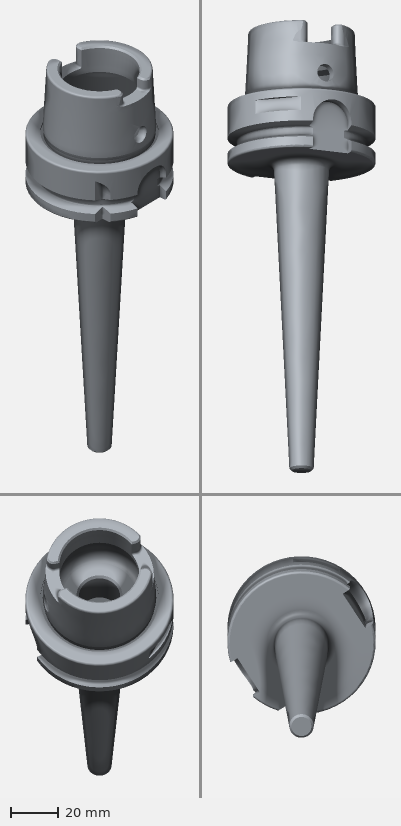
import cadquery as cq
import math


total_height = 192.0
shank_length = 32.0
flange_length = 26.0
flange_top = total_height - shank_length
flange_bottom = flange_top - flange_length

shank_tip_radius = 22.7
taper_slope = 0.05
shank_rounding = 1.0
edge_chamfer = 0.8

taper_foot_height = 2.3
relief_neck_height = 0.8
relief_neck_radius = 23.8
relief_outer_radius = 25.2
relief_depth = 1.0

flange_radius = 31.5
flange_rounding = 1.0
groove_floor_radius = 27.5
groove_middle = 8.0
groove_floor_width = 3.5
groove_mouth_width = 7.0
groove_floor_fillet = 0.5

stem_top_radius = 11.7
stem_tip_radius = 5.2
stem_fillet = 2.9
stem_tip_chamfer = 1.0

mouth_radius = 17.0
lip_depth = 12.9
recess_radius = 20.0
recess_angle = 60.0
recess_fillet = 4.2
bore_depth = 29.4
socket_mouth_radius = 9.8
socket_radius = 8.8
socket_depth = 19.2

cross_hole_radius = 3.8
cross_hole_depth = 23.0

slot_half_width = 6.1
slot_corner_radius = 2.9
slot_blend_inset = 0.2
slot_blend_radius = shank_tip_radius + slot_blend_inset
slot_flare_length = 7.7
slot_floor_fillet = 1.0
deep_slot_depth = 10.0
shallow_slot_depth = 6.0

keyway_half_width = 9.0
keyway_floor = 26.5
keyway_top = total_height - 36.5

notch_floor_x = 19.8
notch_wall_y = -notch_floor_x
notch_end_radius = 8.0
notch_round_start = 147.8
flat_distance = 29.5
flat_width = 20.5
flat_angle = 135.0
flat_top = total_height - 36.0
flat_height = 6.0

clear = 38.4


def revolve_profile(profile):
    """Turn a (radius, height) outline on the XZ plane about the Z axis."""
    return profile.close().revolve(360, (0, 0, 0), (0, 1, 0))


def make_turned_body():
    taper_foot = flange_top + taper_foot_height
    taper_foot_radius = shank_tip_radius + taper_slope * (shank_length - taper_foot_height)
    groove_center = flange_bottom + groove_middle
    profile = (
        cq.Workplane("XZ")
        .moveTo(0, 0)
        .lineTo(stem_tip_radius - stem_tip_chamfer, 0)
        .lineTo(stem_tip_radius, stem_tip_chamfer)
        .lineTo(stem_top_radius, flange_bottom - stem_fillet)
        .radiusArc((stem_top_radius + stem_fillet, flange_bottom), stem_fillet)
        .lineTo(flange_radius - flange_rounding, flange_bottom)
        .radiusArc((flange_radius, flange_bottom + flange_rounding), -flange_rounding)
        .lineTo(flange_radius, groove_center - groove_mouth_width / 2)
        .lineTo(groove_floor_radius, groove_center - groove_floor_width / 2)
        .lineTo(groove_floor_radius, groove_center + groove_floor_width / 2)
        .lineTo(flange_radius, groove_center + groove_mouth_width / 2)
        .lineTo(flange_radius, flange_top - flange_rounding)
        .radiusArc((flange_radius - flange_rounding, flange_top), -flange_rounding)
        .lineTo(relief_outer_radius, flange_top)
        .lineTo(relief_outer_radius, flange_top - relief_depth)
        .lineTo(relief_neck_radius, flange_top - relief_depth)
        .lineTo(relief_neck_radius, flange_top + relief_neck_height)
        .lineTo(taper_foot_radius, taper_foot)
        .lineTo(shank_tip_radius, total_height - shank_rounding)
        .radiusArc((shank_tip_radius - shank_rounding, total_height), -shank_rounding)
        .lineTo(0, total_height)
    )
    body = revolve_profile(profile)
    near_floor = 0.6 * groove_floor_width
    floor_circles = cq.selectors.BoxSelector(
        (-2, -2, groove_center - near_floor),
        (2, 2, groove_center + near_floor),
    )
    return body.edges(floor_circles).fillet(groove_floor_fillet)


def make_bore():
    bore_floor = total_height - bore_depth
    lip = total_height - lip_depth
    shoulder_height = (recess_radius - mouth_radius) / math.tan(math.radians(recess_angle))
    socket_chamfer = socket_mouth_radius - socket_radius
    profile = (
        cq.Workplane("XZ")
        .moveTo(0, bore_floor - socket_depth)
        .lineTo(socket_radius, bore_floor - socket_depth)
        .lineTo(socket_radius, bore_floor - socket_chamfer)
        .lineTo(socket_mouth_radius, bore_floor)
        .lineTo(recess_radius - recess_fillet, bore_floor)
        .radiusArc((recess_radius, bore_floor + recess_fillet), -recess_fillet)
        .lineTo(recess_radius, lip - shoulder_height)
        .lineTo(mouth_radius, lip)
        .lineTo(mouth_radius, total_height - edge_chamfer)
        .lineTo(mouth_radius + edge_chamfer, total_height)
        .lineTo(0, total_height)
    )
    return revolve_profile(profile)


def draw_slot_outline():
    """Plan outline of a +X drive slot; its sides flare outward round the rim corners."""
    corner_y = slot_half_width + slot_corner_radius
    corner_distance = slot_blend_radius - slot_corner_radius
    corner_angle = math.asin(corner_y / corner_distance)
    corner_x = corner_distance * math.cos(corner_angle)
    touch_x = slot_blend_radius * math.cos(corner_angle)
    touch_y = slot_blend_radius * math.sin(corner_angle)
    middle_angle = (corner_angle - math.pi / 2) / 2
    middle_x = corner_x + slot_corner_radius * math.cos(middle_angle)
    middle_y = corner_y + slot_corner_radius * math.sin(middle_angle)
    flare_x = touch_x - slot_flare_length * math.sin(corner_angle)
    flare_y = touch_y + slot_flare_length * math.cos(corner_angle)
    return (
        cq.Workplane("XY")
        .moveTo(0, -slot_half_width)
        .lineTo(corner_x, -slot_half_width)
        .threePointArc((middle_x, -middle_y), (touch_x, -touch_y))
        .lineTo(flare_x, -flare_y)
        .lineTo(clear, -flare_y)
        .lineTo(clear, flare_y)
        .lineTo(flare_x, flare_y)
        .lineTo(touch_x, touch_y)
        .threePointArc((middle_x, middle_y), (corner_x, slot_half_width))
        .lineTo(0, slot_half_width)
        .close()
    )


def make_drive_slot(depth):
    """Slot cutter on the +X side with a filleted floor and bevelled top edges."""
    walls = draw_slot_outline().extrude(depth).faces("<Z").edges().fillet(slot_floor_fillet)
    rim_bevel = draw_slot_outline().extrude(edge_chamfer, taper=-45)
    return (
        walls.translate((0, 0, total_height - depth))
        .union(rim_bevel.translate((0, 0, total_height - edge_chamfer)))
    )


def make_keyway():
    """Round-ended keyway cutter on the +X side, open through the flange underside."""
    end_center = keyway_top - keyway_half_width
    return (
        cq.Workplane("YZ", origin=(keyway_floor, 0, 0))
        .moveTo(-keyway_half_width, flange_bottom)
        .lineTo(-keyway_half_width, end_center)
        .threePointArc((0, keyway_top), (keyway_half_width, end_center))
        .lineTo(keyway_half_width, flange_bottom)
        .close()
        .extrude(clear)
    )


def make_notch():
    """Two-walled corner notch at 45 degrees whose upper end is rounded about X."""
    center_y = notch_wall_y - notch_end_radius
    far_y = center_y - notch_end_radius
    return (
        cq.Workplane("YZ", origin=(notch_floor_x, 0, 0))
        .moveTo(notch_wall_y, flange_bottom)
        .lineTo(notch_wall_y, notch_round_start)
        .threePointArc((center_y, notch_round_start + notch_end_radius), (far_y, notch_round_start))
        .lineTo(far_y, flange_bottom)
        .close()
        .extrude(clear)
    )


def make_flat():
    return (
        cq.Workplane("XY")
        .box(clear, flat_width, flat_height, centered=(False, True, False))
        .translate((flat_distance, 0, flat_top - flat_height))
        .rotate((0, 0, 0), (0, 0, 1), flat_angle)
    )


def to_minus_x(cutter):
    return cutter.rotate((0, 0, 0), (0, 0, 1), 180)


cross_hole = (
    cq.Workplane("YZ", origin=(0, 0, total_height - cross_hole_depth))
    .circle(cross_hole_radius)
    .extrude(clear, both=True)
)

result = make_turned_body().cut(make_bore())
result = result.cut(make_drive_slot(shallow_slot_depth))
result = result.cut(to_minus_x(make_drive_slot(deep_slot_depth)))
result = result.cut(cross_hole)

result = result.cut(make_keyway()).cut(to_minus_x(make_keyway()))
result = result.cut(make_notch()).cut(make_flat())